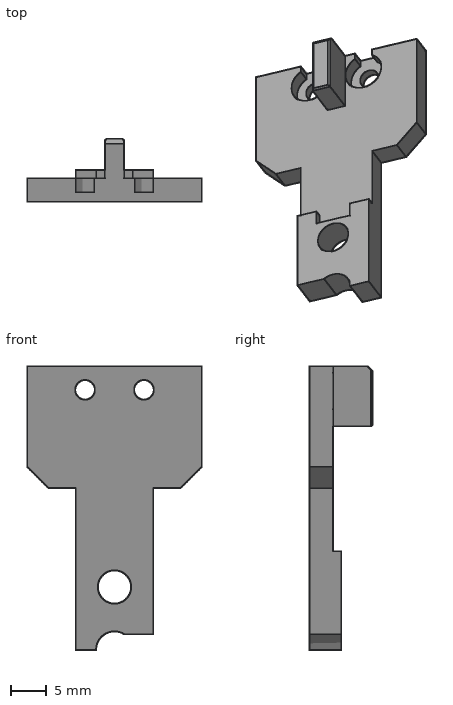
import cadquery as cq


total_length = 39.55
head_width = 24.35
head_length = 17.0
head_corner_cut = 3.0
stem_width = 10.83
plate_thickness = 3.3
shoulder_z = total_length - head_length

end_step = 2.2
relief_radius = 2.55
relief_center_z = 0.05

stem_hole_diameter = 4.6
stem_hole_z = 8.8

pad_length = 13.8
pad_height = 1.15
pad_notch_width = 5.05
pad_notch_depth = 2.0

head_hole_diameter = 2.7
head_hole_spacing = 8.2
head_hole_drop = 3.3
slot_width = 2.55
recess_depth = 2.0
counterbore_diameter = 5.4
head_hole_z = total_length - head_hole_drop

total_depth = 8.81
rib_width = 2.65
rib_length = 8.4
rib_edge_chamfer = 0.25
rib_top_chamfer = 0.7


def box(width, y_start, y_end, z_start, z_end, center_x=0.0):
    """Block centred on center_x that spans the given Y and Z ranges."""
    block = cq.Workplane("XY").box(width, y_end - y_start, z_end - z_start, centered=(True, False, False))
    return block.translate((center_x, y_start, z_start))


def rod(diameter, y_start, y_end, z, x=0.0):
    """Cylinder along Y."""
    axis_start = cq.Vector(x, y_start, z)
    return cq.Workplane(cq.Solid.makeCylinder(diameter / 2, y_end - y_start, axis_start, cq.Vector(0, 1, 0)))


def make_plate():
    half_head = head_width / 2
    half_stem = stem_width / 2
    outline = [
        (-half_stem, 0),
        (half_stem, 0),
        (half_stem, shoulder_z),
        (half_head - head_corner_cut, shoulder_z),
        (half_head, shoulder_z + head_corner_cut),
        (half_head, total_length),
        (-half_head, total_length),
        (-half_head, shoulder_z + head_corner_cut),
        (-half_head + head_corner_cut, shoulder_z),
        (-half_stem, shoulder_z),
    ]
    return cq.Workplane("XZ").polyline(outline).close().extrude(-plate_thickness)


def make_pad():
    pad_back = plate_thickness + pad_height
    pad = box(stem_width, 0, pad_back, 0, pad_length)
    notch = box(pad_notch_width, plate_thickness, pad_back, pad_length - pad_notch_depth, pad_length)
    return pad.cut(notch)


def make_rib():
    rib = box(rib_width, 0, total_depth, total_length - rib_length, total_length)
    rib = rib.faces(">Y").edges("<X or >X or <Z").chamfer(rib_edge_chamfer)
    top_cut = [
        (total_depth - rib_top_chamfer, total_length),
        (total_depth, total_length),
        (total_depth, total_length - rib_top_chamfer),
    ]
    wedge = cq.Workplane("YZ").polyline(top_cut).close().extrude(rib_width / 2, both=True)
    return rib.cut(wedge)


def cut_stem_end(part):
    pad_back = plate_thickness + pad_height
    step = box(stem_width / 2, 0, pad_back, 0, end_step, stem_width / 4)
    relief = rod(2 * relief_radius, 0, pad_back, relief_center_z)
    hole = rod(stem_hole_diameter, 0, pad_back, stem_hole_z)
    return part.cut(step).cut(relief).cut(hole)


def cut_head_hole(part, x):
    recess_floor = plate_thickness - recess_depth
    hole = rod(head_hole_diameter, 0, recess_floor, head_hole_z, x)
    counterbore = rod(counterbore_diameter, recess_floor, plate_thickness, head_hole_z, x)
    slot = box(slot_width, recess_floor, plate_thickness, head_hole_z, total_length, x)
    return part.cut(hole).cut(counterbore).cut(slot)


result = make_plate().union(make_pad()).union(make_rib())
result = cut_stem_end(result)
for side in (-1, 1):
    result = cut_head_hole(result, side * head_hole_spacing / 2)